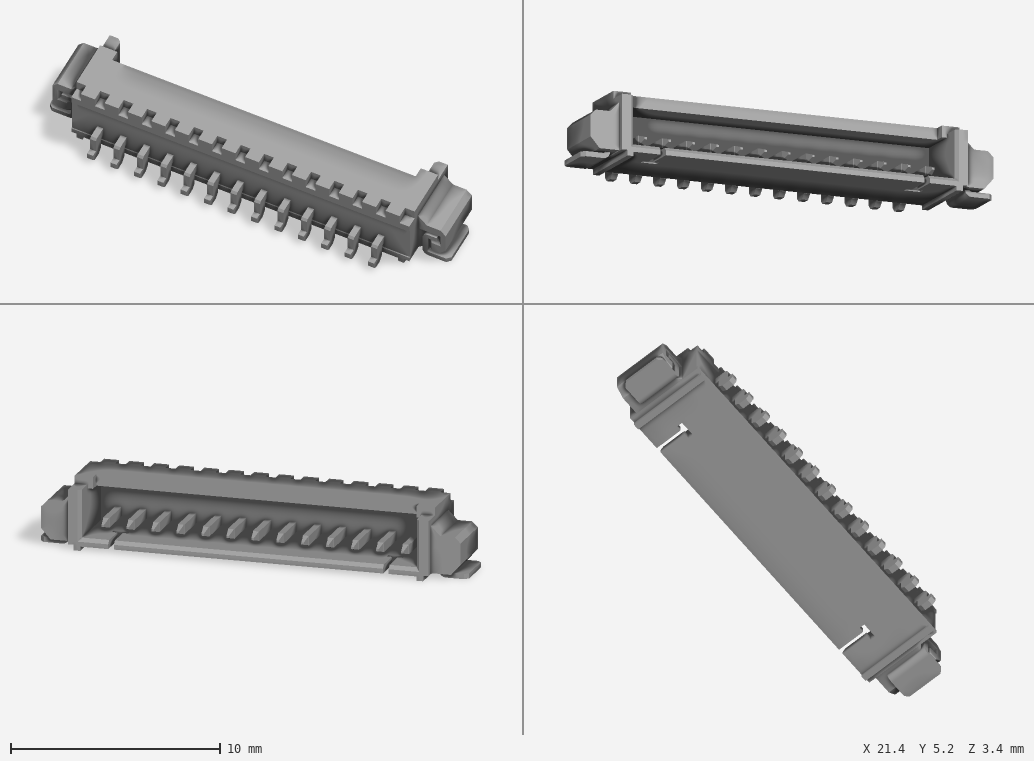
import cadquery as cq


pin_count = 13
first_pin_x = -7.5
pitch = -2 * first_pin_x / (pin_count - 1)
pin_positions = [first_pin_x + i * pitch for i in range(pin_count)]
pin_width = 0.32
pin_top = 1.37
pin_bottom = 0.9
pin_reach = 1.05
pin_leg_front = 0.73
pin_leg_back = 0.2
pin_bend = 0.13
pin_foot_top = 0.51
pin_foot_bevel = 0.2
pin_heel = 0.24
pin_edge_bevel = 0.1
pin_taper_start = 2.9
pin_tip = 3.47
pin_taper_width = 0.28
pin_tip_width = 0.13
pin_tip_height = 0.1

body_width = 18.02
body_depth = 4.15
body_top = 3.4
body_bottom = 0.28
body_middle_bottom = 0.21
half_width = body_width / 2
recess_depth = 0.06
recess_bottom = 0.54
recess_top = 2.5
notch_width = 0.51
notch_depth = 0.58
notch_height = 0.51
rib_outer = 8.73
rib_width = 0.32

post_width = 0.65
cavity_half = half_width - post_width
cavity_front = 0.9
cavity_floor = 0.62
cavity_ceiling = 2.82
mouth_bevel = 0.17
step_z = 3.02
step_depth = 1.05
window_depth = 1.6
window_half = 8.09
key_slot_x = 6.87
key_slot_width = 0.28
key_slot_depth = 1.48
key_cross_length = 0.81
key_cross_depth = 0.3

wing_front = 0.95
wing_back = 3.77
wing_outer = 10.49
wing_bevel = 0.28
wing_top = 2.2
wing_root_x = 9.48
wing_root_top = 2.68
wing_bottom = 0.32
wing_low_bevel_x = 10.02
wing_low_bevel_z = 0.85
lead_in = 0.24
lead_in_angle = 45
tab_outer = 10.7
tab_back = 3.23
tab_thickness = 0.25
tab_corner = 0.2
tab_inner = 9.25
tab_top = 1.52
tab_arm_end = 10.0
tab_bend = 0.35


def box(x0, x1, y0, y1, z0, z1):
    """Axis-aligned block between two opposite corners."""
    return cq.Workplane("XY").box(x1 - x0, y1 - y0, z1 - z0, centered=False).translate((x0, y0, z0))


def prism_along_y(points, y0, y1):
    """Closed XZ outline extruded from y0 to y1."""
    return cq.Workplane("XZ", origin=(0, y0, 0)).polyline(points).close().extrude(y0 - y1)


def both_sides(shape):
    """The shape together with its mirror image across X = 0."""
    return shape.union(shape.mirror("YZ"))


def make_housing():
    """Solid housing with standing ribs underneath and a shallow recess in the front face."""
    housing = box(-half_width, half_width, 0, body_depth, body_bottom, body_top)
    housing = housing.union(box(-rib_outer, rib_outer, 0, body_depth, body_middle_bottom, body_top))
    rib = box(rib_outer - rib_width, rib_outer, 0, body_depth, 0, body_bottom)
    housing = housing.union(both_sides(rib))
    return housing.cut(box(-half_width, half_width, 0, recess_depth, recess_bottom, recess_top))


def cut_top_notches(housing):
    """Square notches above the contacts and at both front corners."""
    end_x = half_width - notch_width / 2
    for x in pin_positions + [-end_x, end_x]:
        notch = box(
            x - notch_width / 2, x + notch_width / 2,
            0, notch_depth,
            body_top - notch_height, body_top,
        )
        housing = housing.cut(notch)
    return housing


def cut_cavity(housing):
    """Hollow the housing from the +Y side, with a bevelled mouth."""
    housing = housing.cut(
        box(-half_width, half_width, body_depth - step_depth, body_depth, step_z, body_top)
    )
    housing = housing.cut(
        box(-cavity_half, cavity_half, cavity_front, body_depth, cavity_floor, cavity_ceiling)
    )
    housing = housing.cut(
        box(-cavity_half, cavity_half, body_depth - step_depth, body_depth, cavity_floor, body_top)
    )
    housing = housing.cut(
        box(-window_half, window_half, body_depth - window_depth, body_depth, cavity_floor, body_top)
    )
    mouth_height = body_top - cavity_floor
    mouth = (
        cq.Workplane("XZ", origin=(0, body_depth - mouth_bevel, 0))
        .center(0, body_top)
        .rect(2 * cavity_half, 2 * mouth_height)
        .workplane(offset=-mouth_bevel)
        .rect(2 * (cavity_half + mouth_bevel), 2 * (mouth_height + mouth_bevel))
        .loft(combine=True)
    )
    return housing.cut(mouth)


def cut_key_slots(housing):
    """T-shaped slots through the cavity floor."""
    slot_front = body_depth - key_slot_depth
    slot = box(
        key_slot_x - key_slot_width / 2, key_slot_x + key_slot_width / 2,
        slot_front, body_depth,
        0, cavity_floor,
    )
    cross = box(
        key_slot_x - key_cross_length / 2, key_slot_x + key_cross_length / 2,
        slot_front - key_cross_depth, slot_front,
        0, cavity_floor,
    )
    return housing.cut(both_sides(slot.union(cross)))


def make_wing():
    """Hooded wing on the +X end with a bevelled entry around the solder tab."""
    wing = prism_along_y(
        [
            (half_width, wing_root_top),
            (wing_root_x, wing_top),
            (wing_outer - wing_bevel, wing_top),
            (wing_outer, wing_top - wing_bevel),
            (wing_outer, wing_low_bevel_z),
            (wing_low_bevel_x, wing_bottom),
            (half_width, wing_bottom),
        ],
        wing_front,
        wing_back,
    )
    arm_bottom = tab_top - tab_thickness
    stem_outer = tab_inner + tab_thickness
    slot_outline = [
        (tab_inner, 0),
        (tab_inner, tab_top),
        (tab_arm_end, tab_top),
        (tab_arm_end, arm_bottom),
        (stem_outer, arm_bottom),
        (stem_outer, tab_thickness),
        (tab_outer, tab_thickness),
        (tab_outer, 0),
    ]
    entry = (
        cq.Workplane("XZ", origin=(0, wing_front, 0))
        .polyline(slot_outline)
        .close()
        .offset2D(lead_in, "intersection")
        .extrude(-lead_in, taper=lead_in_angle)
    )
    return wing.cut(entry)


def make_tab():
    """Bent strip on the +X end: board foot, upright stem and arm held in the wing."""
    inner_bend = tab_bend - tab_thickness
    stem_outer = tab_inner + tab_thickness
    tab = (
        cq.Workplane("XZ", origin=(0, wing_front, 0))
        .moveTo(tab_outer, 0)
        .lineTo(tab_inner + tab_bend, 0)
        .radiusArc((tab_inner, tab_bend), tab_bend)
        .lineTo(tab_inner, tab_top - tab_bend)
        .radiusArc((tab_inner + tab_bend, tab_top), tab_bend)
        .lineTo(tab_arm_end, tab_top)
        .lineTo(tab_arm_end, tab_top - tab_thickness)
        .lineTo(stem_outer + inner_bend, tab_top - tab_thickness)
        .radiusArc((stem_outer, tab_top - tab_bend), -inner_bend)
        .lineTo(stem_outer, tab_bend)
        .radiusArc((tab_inner + tab_bend, tab_thickness), -inner_bend)
        .lineTo(tab_outer, tab_thickness)
        .close()
        .extrude(wing_front - tab_back)
    )
    return tab.edges("|Z and >X").chamfer(tab_corner)


def make_pin():
    """One contact centred on X = 0: cranked solder leg, straight shank and tapered tip."""
    pin = (
        cq.Workplane("YZ", origin=(-pin_width / 2, 0, 0))
        .moveTo(pin_taper_start, pin_top)
        .lineTo(-pin_leg_front + pin_edge_bevel, pin_top)
        .lineTo(-pin_leg_front, pin_top - pin_edge_bevel)
        .lineTo(-pin_leg_front, pin_foot_top)
        .lineTo(-pin_reach, pin_foot_top)
        .lineTo(-pin_reach, pin_foot_bevel)
        .lineTo(-pin_reach + pin_foot_bevel, 0)
        .lineTo(-pin_leg_back - pin_heel, 0)
        .lineTo(-pin_leg_back, pin_heel)
        .lineTo(-pin_leg_back, pin_bottom - pin_bend)
        .radiusArc((-pin_leg_back + pin_bend, pin_bottom), pin_bend)
        .lineTo(pin_taper_start, pin_bottom)
        .close()
        .extrude(pin_width)
    )
    tip = (
        cq.Workplane("XZ", origin=(0, pin_taper_start, (pin_top + pin_bottom) / 2))
        .rect(pin_taper_width, pin_top - pin_bottom)
        .workplane(offset=pin_taper_start - pin_tip)
        .rect(pin_tip_width, pin_tip_height)
        .loft(combine=True)
    )
    return pin.union(tip)


result = make_housing()
result = cut_top_notches(result)
result = cut_cavity(result)
result = cut_key_slots(result)
result = result.union(both_sides(make_wing()))
result = result.union(both_sides(make_tab()))
for pin_x in pin_positions:
    result = result.union(make_pin().translate((pin_x, 0, 0)))